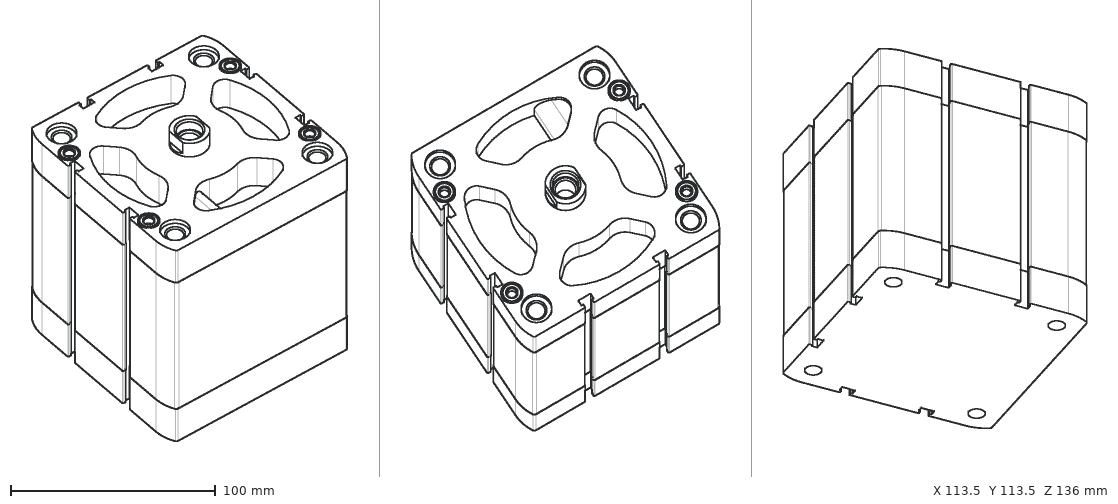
import cadquery as cq
import math

WIDTH = 113.5
TOTAL_HEIGHT = 136.0
ROD_PROTRUSION = 9.0
CAP_HEIGHT = 21.5
BARREL_INSET = 0.1
CUT_OVERRUN = 1.4

HALF_WIDTH = WIDTH / 2
HOUSING_HEIGHT = TOTAL_HEIGHT - ROD_PROTRUSION
BARREL_HEIGHT = HOUSING_HEIGHT - 2 * CAP_HEIGHT

CORNER_ARC_START = 44.6
CORNER_ARC_RADIUS = 23.1
CAP_EDGE_ROUND = 1.4
BARREL_EDGE_ROUND = 2.0

SLOT_OFFSET = 21.5
SLOT_MOUTH = 5.0
SLOT_WIDTH = 7.1
SLOT_DEPTH = 4.9
SLOT_LIP = 1.9
CAP_LIP_ROUND = 0.4
BARREL_LIP_ROUND = 0.5

POCKET_OUTER_RADIUS = 49.5
POCKET_INNER_RADIUS = 27.7
POCKET_DEPTH = 18.6
RIB_WIDTH = 13.6
POCKET_OUTER_ROUND = 6.0
POCKET_INNER_ROUND = 10.0

PORT_OFFSET = 20.0
PORT_BOSS_RADIUS = 8.0
PORT_AXIS_DEPTH = CAP_HEIGHT / 2

MOUNT_OFFSET = 44.5
MOUNT_BORE = 15.0
MOUNT_BORE_DEPTH = 2.6
MOUNT_CHAMFER = 10.0
MOUNT_HOLE = 8.5

SCREW_X = 31.1
SCREW_Y = 50.3
SCREW_RECESS = 10.7
SCREW_HEAD = 10.0
SCREW_HEAD_TOP = 8.8
SCREW_GROOVE_DEPTH = 0.8
SOCKET_MOUTH = 6.0
SOCKET = 4.9
SOCKET_DEPTH = 4.1
SOCKET_TIP_DEPTH = 0.7

ROD_DIAMETER = 20.0
ROD_FLATS = 16.9
ROD_FLAT_HEIGHT = 7.0
ROD_FLAT_RUNOUT = 30.0
ROD_LENGTH = ROD_PROTRUSION + CAP_HEIGHT
ROD_MOUTH = 15.0
ROD_BORE = 13.0
ROD_BORE_DEPTH = 6.0
ROD_THREAD = 12.0
ROD_DRILL = 10.0
ROD_DRILL_DEPTH = 20.0
DRILL_TIP_ANGLE = 30.0


def turned(profile):
    """Solid of revolution about Z from (radius, height) points."""
    return cq.Workplane("XZ").polyline(profile).close().revolve(360, (0, 0, 0), (0, 1, 0))


def blank(inset, height, edge_round):
    """Prism with four arc corners, without slots."""
    half = HALF_WIDTH - inset
    radius = CORNER_ARC_RADIUS - inset
    centre_y = half - radius
    reach = half - CORNER_ARC_START
    edge_y = centre_y + math.sqrt(radius**2 - reach**2)
    half_angle = math.asin(reach / radius) / 2
    mid_x = CORNER_ARC_START + radius * math.sin(half_angle)
    mid_y = centre_y + radius * math.cos(half_angle)
    prism = (
        cq.Workplane("XY")
        .moveTo(-CORNER_ARC_START, half)
        .lineTo(CORNER_ARC_START, half)
        .threePointArc((mid_x, mid_y), (half, edge_y))
        .lineTo(half, -edge_y)
        .threePointArc((mid_x, -mid_y), (CORNER_ARC_START, -half))
        .lineTo(-CORNER_ARC_START, -half)
        .threePointArc((-mid_x, -mid_y), (-half, -edge_y))
        .lineTo(-half, edge_y)
        .threePointArc((-mid_x, mid_y), (-CORNER_ARC_START, half))
        .close()
        .extrude(height)
    )
    arc_middle = CORNER_ARC_START + reach / 2
    side_edges = prism.edges("|Z").filter(lambda edge: abs(edge.Center().x) > arc_middle)
    return side_edges.fillet(edge_round)


def slot_cutters(half, height):
    """T-slot pairs on the +Y, -X and -Y sides."""
    mouth = cq.Workplane("XY").box(SLOT_MOUTH, SLOT_DEPTH + CUT_OVERRUN, height, centered=(True, False, False))
    groove = cq.Workplane("XY").box(SLOT_WIDTH, SLOT_DEPTH - SLOT_LIP, height, centered=(True, False, False))
    tee = mouth.union(groove).translate((0, half - SLOT_DEPTH, 0))
    pair = tee.translate((SLOT_OFFSET, 0, 0)).union(tee.translate((-SLOT_OFFSET, 0, 0)))
    cutters = pair
    for angle in (90, 180):
        cutters = cutters.union(pair.rotate((0, 0, 0), (0, 0, 1), angle))
    return cutters


def section(inset, height, edge_round, lip_round):
    """One length of the housing, with rounded slot mouths."""
    half = HALF_WIDTH - inset
    slotted = blank(inset, height, edge_round).cut(slot_cutters(half, height))
    lip_depth = half - SLOT_LIP / 2

    def on_slot_mouth(edge):
        place = edge.Center()
        across, along = sorted((abs(place.x), abs(place.y)))
        return along > lip_depth and across < SLOT_OFFSET + SLOT_WIDTH

    return slotted.edges("|Z").filter(on_slot_mouth).fillet(lip_round)


def pocket():
    """Cutter for the +Y pocket, between two ribs and two arcs about the rod axis."""
    apex = RIB_WIDTH / 2 * math.sqrt(2)
    wedge = (
        cq.Workplane("XY")
        .polyline([(0, apex), (WIDTH, apex + WIDTH), (-WIDTH, apex + WIDTH)])
        .close()
        .extrude(POCKET_DEPTH)
    )
    ring = cq.Workplane("XY").circle(POCKET_OUTER_RADIUS).circle(POCKET_INNER_RADIUS).extrude(POCKET_DEPTH)
    mid_radius = (POCKET_OUTER_RADIUS + POCKET_INNER_RADIUS) / 2

    def axis_distance(edge):
        return math.hypot(edge.Center().x, edge.Center().y)

    cutter = wedge.intersect(ring)
    cutter = cutter.edges("|Z").filter(lambda edge: axis_distance(edge) > mid_radius).fillet(POCKET_OUTER_ROUND)
    cutter = cutter.edges("|Z").filter(lambda edge: axis_distance(edge) < mid_radius).fillet(POCKET_INNER_ROUND)
    return cutter.translate((0, 0, HOUSING_HEIGHT - POCKET_DEPTH))


def port_boss():
    """Bar along X with one rounded top edge; it fills the -Y end of the +X pocket."""
    crest = HOUSING_HEIGHT - PORT_AXIS_DEPTH + PORT_BOSS_RADIUS
    boss_side = PORT_BOSS_RADIUS - PORT_OFFSET
    bar = cq.Workplane("XY").box(
        HALF_WIDTH, HALF_WIDTH + boss_side, crest - (HOUSING_HEIGHT - POCKET_DEPTH), centered=False
    )
    bar = bar.translate((0, -HALF_WIDTH, HOUSING_HEIGHT - POCKET_DEPTH))
    return bar.edges("|X and >Y and >Z").fillet(PORT_BOSS_RADIUS)


def pocket_cutters():
    """Four pockets about the rod; the +X one leaves the port boss standing."""
    around = [pocket().rotate((0, 0, 0), (0, 0, 1), angle) for angle in (0, 90, 180)]
    port_pocket = pocket().rotate((0, 0, 0), (0, 0, 1), 270).cut(port_boss())
    return [*around, port_pocket]


def mount_hole():
    """Through hole with a countersunk mouth at the bottom of a counterbore."""
    bore_floor = HOUSING_HEIGHT - MOUNT_BORE_DEPTH
    chamfer_depth = (MOUNT_CHAMFER - MOUNT_HOLE) / 2
    return turned([
        (0, -CUT_OVERRUN),
        (MOUNT_HOLE / 2, -CUT_OVERRUN),
        (MOUNT_HOLE / 2, bore_floor - chamfer_depth),
        (MOUNT_CHAMFER / 2, bore_floor),
        (MOUNT_BORE / 2, bore_floor),
        (MOUNT_BORE / 2, HOUSING_HEIGHT + CUT_OVERRUN),
        (0, HOUSING_HEIGHT + CUT_OVERRUN),
    ])


def screw_groove():
    """Ring groove around a flush screw head with a bevelled rim."""
    groove_floor = HOUSING_HEIGHT - SCREW_GROOVE_DEPTH
    return turned([
        (SCREW_HEAD_TOP / 2, HOUSING_HEIGHT),
        (SCREW_HEAD / 2, groove_floor),
        (SCREW_RECESS / 2, groove_floor),
        (SCREW_RECESS / 2, HOUSING_HEIGHT),
    ])


def screw_socket():
    """Socket with a bevelled mouth and a shallow conical floor."""
    socket_floor = HOUSING_HEIGHT - SOCKET_DEPTH
    return turned([
        (0, HOUSING_HEIGHT),
        (SOCKET_MOUTH / 2, HOUSING_HEIGHT),
        (SOCKET / 2, HOUSING_HEIGHT - (SOCKET_MOUTH - SOCKET) / 2),
        (SOCKET / 2, socket_floor),
        (0, socket_floor - SOCKET_TIP_DEPTH),
    ])


def make_housing():
    cap = section(0, CAP_HEIGHT, CAP_EDGE_ROUND, CAP_LIP_ROUND)
    barrel = section(BARREL_INSET, BARREL_HEIGHT, BARREL_EDGE_ROUND, BARREL_LIP_ROUND)
    body = cap.union(barrel.translate((0, 0, CAP_HEIGHT)))
    body = body.union(cap.translate((0, 0, CAP_HEIGHT + BARREL_HEIGHT)))
    for cutter in pocket_cutters():
        body = body.cut(cutter)
    for side_x in (-1, 1):
        for side_y in (-1, 1):
            mount_place = (side_x * MOUNT_OFFSET, side_y * MOUNT_OFFSET, 0)
            screw_place = (side_x * SCREW_X, side_y * SCREW_Y, 0)
            body = body.cut(mount_hole().translate(mount_place))
            body = body.cut(screw_groove().translate(screw_place))
            body = body.cut(screw_socket().translate(screw_place))
    rod_hole = cq.Workplane("XY").circle(ROD_DIAMETER / 2).extrude(ROD_LENGTH)
    return body.cut(rod_hole.translate((0, 0, TOTAL_HEIGHT - ROD_LENGTH)))


def flat_cutter():
    """Removes the +Y side of the rod down to a flat with a sloping lower end."""
    flat_bottom = TOTAL_HEIGHT - ROD_FLAT_HEIGHT
    outer_y = ROD_DIAMETER / 2 + CUT_OVERRUN
    slope_drop = (outer_y - ROD_FLATS / 2) * math.tan(math.radians(ROD_FLAT_RUNOUT))
    return (
        cq.Workplane("YZ")
        .polyline([
            (ROD_FLATS / 2, TOTAL_HEIGHT),
            (ROD_FLATS / 2, flat_bottom),
            (outer_y, flat_bottom - slope_drop),
            (outer_y, TOTAL_HEIGHT),
        ])
        .close()
        .extrude(ROD_DIAMETER / 2, both=True)
    )


def rod_bore():
    """Blind threaded hole with a bevelled, counterbored mouth."""
    bore_floor = TOTAL_HEIGHT - ROD_BORE_DEPTH
    thread_floor = TOTAL_HEIGHT - ROD_DRILL_DEPTH
    tip_depth = ROD_DRILL / 2 * math.tan(math.radians(DRILL_TIP_ANGLE))
    return turned([
        (0, TOTAL_HEIGHT),
        (ROD_MOUTH / 2, TOTAL_HEIGHT),
        (ROD_BORE / 2, TOTAL_HEIGHT - (ROD_MOUTH - ROD_BORE) / 2),
        (ROD_BORE / 2, bore_floor),
        (ROD_THREAD / 2, bore_floor),
        (ROD_DRILL / 2, bore_floor - (ROD_THREAD - ROD_DRILL) / 2),
        (ROD_DRILL / 2, thread_floor),
        (0, thread_floor - tip_depth),
    ])


def make_rod():
    rod = cq.Workplane("XY").circle(ROD_DIAMETER / 2).extrude(ROD_LENGTH)
    rod = rod.translate((0, 0, TOTAL_HEIGHT - ROD_LENGTH))
    rod = rod.cut(flat_cutter()).cut(flat_cutter().mirror("XZ"))
    return rod.cut(rod_bore())


housing = make_housing()
piston_rod = make_rod()

result = cq.Compound.makeCompound([housing.val(), piston_rod.val()])